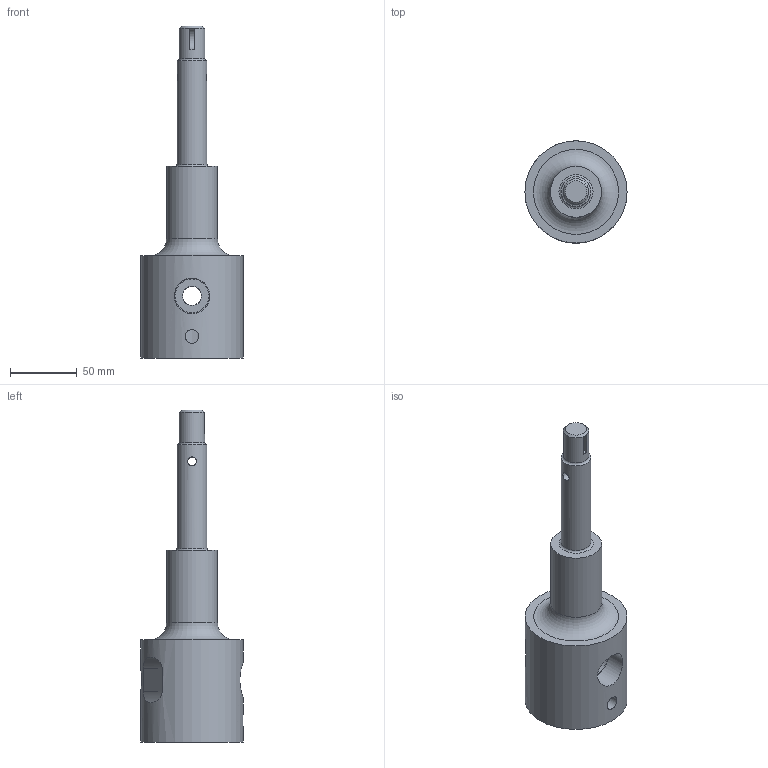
import cadquery as cq
import math

body_diameter = 76.25
body_height = 76.25
neck_diameter = 38.1
neck_fillet_radius = 12.7
neck_top = 143.0
shaft_diameter = 22.2
root_radius = 1.6
shaft_top = 221.8
tip_diameter = shaft_diameter - 2 * root_radius
total_height = 247.8
tip_chamfer = 1.5

bore_diameter = 41.3
bore_depth = 28.0
pin_hole_diameter = 10.25
pin_hole_height = 16.1

cross_hole_height = 46.35
cross_hole_diameter = 14.2
counterbore_diameter = 26.5
counterbore_depth = 16.6
pocket_diameter = 25.4
pocket_depth = 21.0

flat_angle = 126.0
flat_distance = 36.2
flat_length = 17.2
flat_end_diameter = 38.1

shaft_hole_diameter = 6.5
shaft_hole_height = 209.5

key_width = 3.97
key_seat_diameter = 15.9
key_seat_height = 238.0

body_radius = body_diameter / 2
neck_radius = neck_diameter / 2
shaft_radius = shaft_diameter / 2
tip_radius = tip_diameter / 2


def add_root_fillet(outline, radius, height, fillet):
    """Add the concave fillet that rises from a shoulder to the smaller radius above it."""
    foot_radius = radius + fillet
    arc_end_height = height + fillet
    reach = fillet * math.sqrt(0.5)
    middle = (foot_radius - reach, arc_end_height - reach)
    return outline.threePointArc(middle, (radius, arc_end_height))


def make_turned_body():
    """Revolve the stepped outline, with its fillets and tip chamfer, about Z."""
    outline = cq.Workplane("XZ").lineTo(body_radius, 0).lineTo(body_radius, body_height)
    outline = outline.lineTo(neck_radius + neck_fillet_radius, body_height)
    outline = add_root_fillet(outline, neck_radius, body_height, neck_fillet_radius)
    outline = outline.lineTo(neck_radius, neck_top).lineTo(shaft_radius + root_radius, neck_top)
    outline = add_root_fillet(outline, shaft_radius, neck_top, root_radius)
    outline = outline.lineTo(shaft_radius, shaft_top)
    outline = add_root_fillet(outline, tip_radius, shaft_top, root_radius)
    outline = (
        outline.lineTo(tip_radius, total_height - tip_chamfer)
        .lineTo(tip_radius - tip_chamfer, total_height)
        .lineTo(0, total_height)
        .close()
    )
    return outline.revolve(360, (0, 0, 0), (0, 1, 0))


def hole_from_front(diameter, height, depth):
    """Cylinder along +Y that starts at the -Y side of the body."""
    return (
        cq.Workplane("XZ", origin=(0, -body_radius, height))
        .circle(diameter / 2)
        .extrude(-depth)
    )


def make_bottom_bore():
    return cq.Workplane("XY").circle(bore_diameter / 2).extrude(bore_depth)


def make_cross_hole():
    """Through hole, counterbored on its -Y end, with a slightly narrower pocket below."""
    through = hole_from_front(cross_hole_diameter, cross_hole_height, body_diameter)
    counterbore = hole_from_front(counterbore_diameter, cross_hole_height, counterbore_depth)
    pocket = hole_from_front(pocket_diameter, cross_hole_height, pocket_depth)
    return through.union(counterbore).union(pocket)


def make_side_flat():
    """Upright slot shape run across the body, so that only its inner face and ends cut."""
    slot_height = flat_length + flat_end_diameter
    slot_centre = flat_distance + flat_end_diameter / 2
    return (
        cq.Workplane("XZ")
        .center(slot_centre, cross_hole_height)
        .slot2D(slot_height, flat_end_diameter, 90)
        .extrude(body_radius, both=True)
        .rotate((0, 0, 0), (0, 0, 1), flat_angle)
    )


def make_shaft_hole():
    return (
        cq.Workplane("YZ", origin=(0, 0, shaft_hole_height))
        .circle(shaft_hole_diameter / 2)
        .extrude(shaft_radius, both=True)
    )


def make_key_seat():
    return (
        cq.Workplane("YZ", origin=(0, -tip_radius, key_seat_height))
        .circle(key_seat_diameter / 2)
        .extrude(key_width / 2, both=True)
    )


result = (
    make_turned_body()
    .cut(make_bottom_bore())
    .cut(hole_from_front(pin_hole_diameter, pin_hole_height, body_radius))
    .cut(make_cross_hole())
    .cut(make_side_flat())
    .cut(make_shaft_hole())
    .cut(make_key_seat())
)